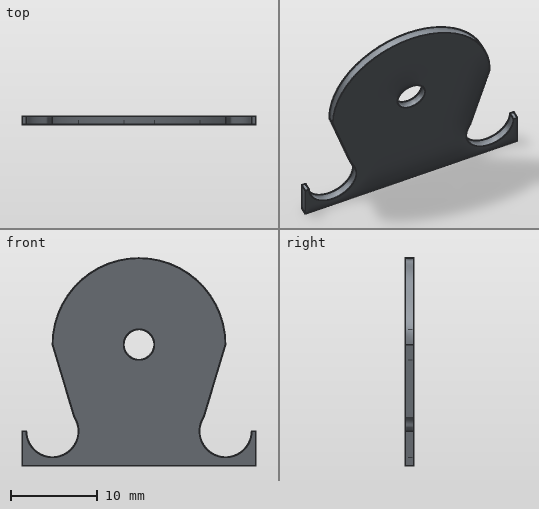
import cadquery as cq

thickness = 1.0
base_length = 27.0
base_height = 4.0
head_radius = 10.0
head_center_height = 14.0
hole_diameter = 3.5
notch_radius = 3.0
notch_offset = 10.0

neck_half_width = notch_offset - notch_radius


def front_plane():
    """Sketch plane on the front face; a negative extrusion runs toward +Y."""
    return cq.Workplane("XZ")


def make_base():
    """Straight bar along the bottom of the plate."""
    return (
        front_plane()
        .rect(base_length, base_height)
        .extrude(-thickness)
        .translate((0, 0, base_height / 2))
    )


def make_head():
    """Half-round head tapering down through the neck to the base."""
    return (
        front_plane()
        .moveTo(-neck_half_width, base_height)
        .lineTo(-head_radius, head_center_height)
        .threePointArc(
            (0, head_center_height + head_radius),
            (head_radius, head_center_height),
        )
        .lineTo(neck_half_width, base_height)
        .close()
        .extrude(-thickness)
    )


def make_cutter(x, z, radius):
    """Round cutter through the full thickness, centred at (x, z)."""
    return front_plane().center(x, z).circle(radius).extrude(-thickness)


result = make_base().union(make_head())
result = result.cut(make_cutter(0, head_center_height, hole_diameter / 2))
for side in (-1, 1):
    result = result.cut(make_cutter(side * notch_offset, base_height, notch_radius))